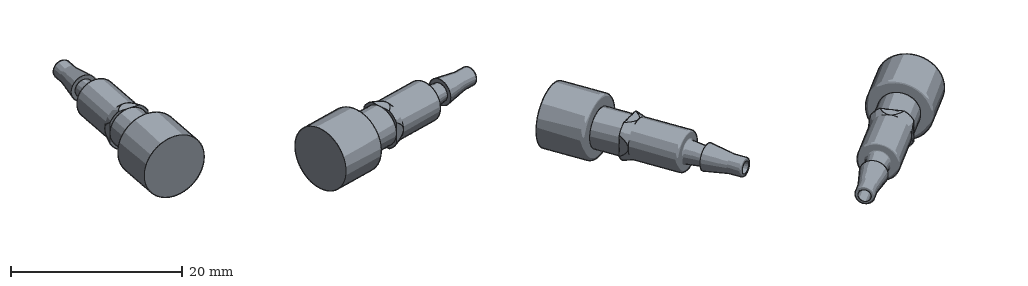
import cadquery as cq
import math

total_length = 25.5
barb_start = 1.8
barb_end = 5.1
body_start = 7.57
collar_start = 14.1
collar_end = 15.3
head_start = 19.2

tip_radius = 1.2
barb_radius = 1.73
stem_end_radius = 1.45
body_radius = 2.6
collar_radius = 2.98
head_radius = 4.1

tip_round = 0.2
stem_root_round = 0.23
body_round = 0.3
head_round = 0.43

bore_radius = 0.8
bore_depth = body_start
plug_flat_radius = 0.23


def rounded_corner(profile, x, radius, rounding):
    """Go up a face at x and turn tangentially onto a cylinder of the given radius."""
    middle = rounding * (1 - math.sqrt(0.5))
    return (
        profile.lineTo(x, radius - rounding)
        .threePointArc((x + middle, radius - middle), (x + rounding, radius))
    )


def spin(profile):
    """Close a half profile and revolve it about the X axis."""
    return profile.close().revolve(360, (0, 0, 0), (1, 0, 0))


def make_turned_body():
    """Barbed stem, cylindrical body, flared collar, neck and head in one turning."""
    profile = cq.Workplane("XY").moveTo(0, 0)
    profile = rounded_corner(profile, 0, tip_radius, tip_round)
    profile = (
        profile.lineTo(barb_start, tip_radius)
        .lineTo(barb_end, barb_radius)
        .lineTo(barb_end, tip_radius)
        .lineTo(body_start - stem_root_round, stem_end_radius)
    )
    middle = stem_root_round * math.sqrt(0.5)
    profile = profile.threePointArc(
        (body_start - stem_root_round + middle, stem_end_radius + stem_root_round - middle),
        (body_start, stem_end_radius + stem_root_round),
    )
    profile = rounded_corner(profile, body_start, body_radius, body_round)
    profile = (
        profile.lineTo(collar_start, body_radius)
        .lineTo(collar_end, collar_radius)
        .lineTo(collar_end, body_radius)
        .lineTo(head_start, body_radius)
    )
    profile = rounded_corner(profile, head_start, head_radius, head_round)
    profile = profile.lineTo(total_length, head_radius).lineTo(total_length, 0)
    return spin(profile)


def cut_collar_flats(part):
    """Trim the collar to a square so its four flats are level with the body."""
    collar_length = collar_end - collar_start
    trim = (
        cq.Workplane("YZ")
        .workplane(offset=collar_start)
        .circle(2 * collar_radius)
        .rect(2 * body_radius, 2 * body_radius)
        .extrude(collar_length)
    )
    return part.cut(trim)


def make_bore():
    """Space inside the tip: a cylinder less the rounded plug at its bottom."""
    plug_round = bore_radius - plug_flat_radius
    middle = plug_round * (1 - math.sqrt(0.5))
    plug_top = bore_depth - plug_round
    profile = (
        cq.Workplane("XY")
        .lineTo(0, bore_radius)
        .lineTo(bore_depth, bore_radius)
        .threePointArc((plug_top + middle, bore_radius - middle), (plug_top, plug_flat_radius))
        .lineTo(plug_top, 0)
    )
    return spin(profile)


result = cut_collar_flats(make_turned_body()).cut(make_bore())